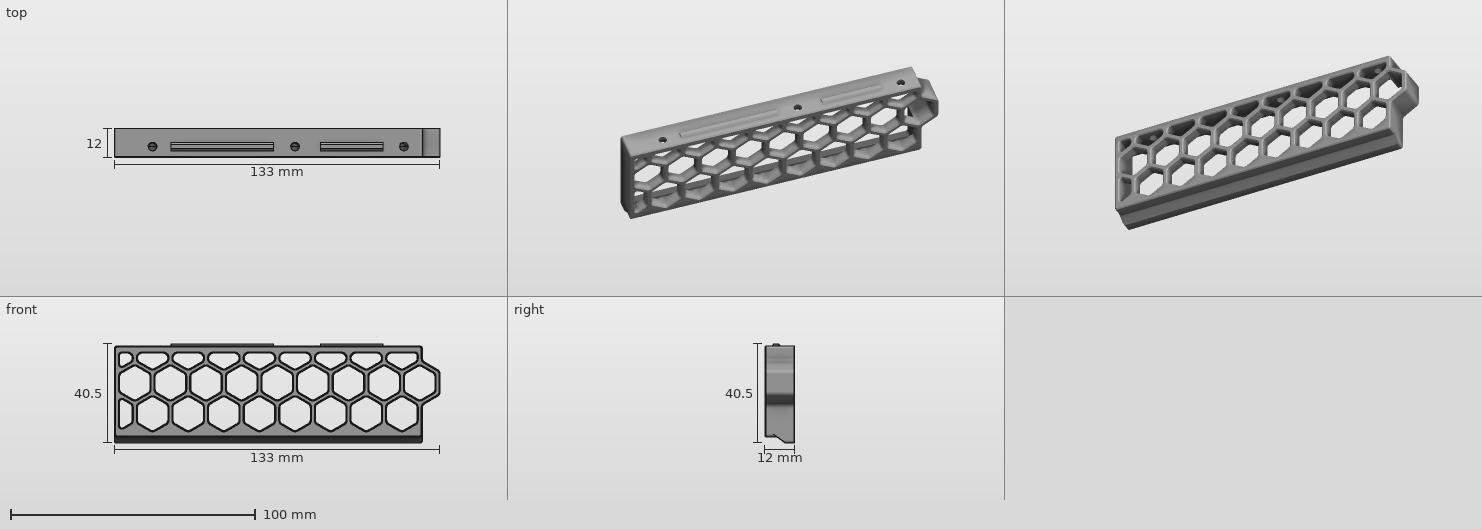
import cadquery as cq
import math

LENGTH = 133.0
DEPTH = 12.0
HEIGHT = 40.5
RAIL_HEIGHT = 0.86
BODY_TOP = HEIGHT - RAIL_HEIGHT

WALL = 2.1
TOP_WALL = 2.9
CELL_COLUMNS = 9
PITCH = (LENGTH - WALL) / CELL_COLUMNS
CELL_WIDTH = PITCH - WALL
ROW_RISE = PITCH * math.sqrt(3) / 2
MIDDLE_ROW_Z = 24.6
MIDDLE_ROW_X = WALL + CELL_WIDTH / 2
END_CELL_X = LENGTH - WALL - CELL_WIDTH / 2
END_HEX_WIDTH = CELL_WIDTH + 2 * WALL
JOINT_RISE = (END_HEX_WIDTH - PITCH / 2) / math.sqrt(3)
PLATE_DEPTH = 4.5
BODY_LENGTH = LENGTH - PITCH / 2
END_WALL_X = BODY_LENGTH - WALL
CELL_CEILING = BODY_TOP - TOP_WALL

FRONT_BOTTOM = 2.5
TONGUE_DEPTH = 3.6
STEP_RUN = 3.5
STEP_SLOPE = FRONT_BOTTOM / STEP_RUN
POCKET_RAMP_FOOT = 8.8
POCKET_FLOOR = 3.0

END_FILLET = 1.0
HEX_FILLET = 2.0
CELL_FILLET = 1.7
FRAME_CORNER_FILLET = 1.0
CEILING_FILLET = 2.0
FRONT_CHAMFER = 0.47
TOLERANCE = 0.01

TOP_LINE_Y = 4.5
RAIL_BASE_WIDTH = 3.5
RAIL_SPANS = [(23.1, 65.0), (84.0, 109.5)]
HOLE_DIAMETER = 3.5
FIRST_HOLE_X = MIDDLE_ROW_X + PITCH / 2
HOLE_POSITIONS = [FIRST_HOLE_X, FIRST_HOLE_X + 4 * PITCH, 118.2]


def hex_prism(x, z, across_flats):
    """Full-depth hexagon along Y, centred at (x, z), with two vertical flats."""
    radius = across_flats / math.sqrt(3)
    angles = [math.radians(30 + 60 * i) for i in range(6)]
    corners = [(x + radius * math.cos(a), z + radius * math.sin(a)) for a in angles]
    return cq.Workplane("XZ").polyline(corners).close().extrude(-DEPTH)


def block(x0, x1, y0, y1, z0, z1):
    """Box between the given limits."""
    return cq.Workplane("XY").box(x1 - x0, y1 - y0, z1 - z0, centered=False).translate((x0, y0, z0))


def rounded_bar(bottom):
    """Full-depth bar with the body's length, rounded along its four Y edges."""
    return block(0, BODY_LENGTH, 0, DEPTH, bottom, BODY_TOP).edges("|Y").fillet(END_FILLET)


def behind_ramp(foot_y, foot_z):
    """Everything above foot_z and behind a ramp that rises from its foot towards the front face."""
    ramp_top_z = foot_z + foot_y * STEP_SLOPE
    return (
        cq.Workplane("YZ")
        .polyline([(foot_y, foot_z), (DEPTH, foot_z), (DEPTH, BODY_TOP), (0, BODY_TOP), (0, ramp_top_z)])
        .close()
        .extrude(LENGTH)
    )


def make_body():
    """Solid bar with its stepped underside and the hexagon standing out of its right end."""
    tongue = rounded_bar(0).intersect(behind_ramp(DEPTH - TONGUE_DEPTH, 0))
    body = rounded_bar(FRONT_BOTTOM).union(tongue)
    end_hex = hex_prism(END_CELL_X, MIDDLE_ROW_Z, END_HEX_WIDTH)
    end_hex = end_hex.edges(">X").edges("|Y").fillet(HEX_FILLET)
    body = body.union(end_hex)
    for side in (-1, 1):
        corner = (BODY_LENGTH, DEPTH / 2, MIDDLE_ROW_Z + side * JOINT_RISE)
        body = body.edges(cq.NearestToPointSelector(corner)).fillet(HEX_FILLET)
    return body


def make_cell(x, z):
    """Through opening: a hexagon trimmed by the frame, with rounded corners."""
    frame = block(WALL, LENGTH, 0, DEPTH, 0, CELL_CEILING)
    cell = hex_prism(x, z, CELL_WIDTH).intersect(frame)
    corners = [edge.Center() for edge in cell.edges("|Y").vals()]
    for corner in corners:
        at_ceiling = abs(corner.z - CELL_CEILING) < TOLERANCE
        at_left_wall = abs(corner.x - WALL) < TOLERANCE and x < WALL
        at_right_wall = abs(corner.x - END_WALL_X) < TOLERANCE
        if at_left_wall or (at_ceiling and at_right_wall):
            radius = FRAME_CORNER_FILLET
        elif at_ceiling:
            radius = CEILING_FILLET
        else:
            radius = CELL_FILLET
        cell = cell.edges(cq.NearestToPointSelector(corner.toTuple())).fillet(radius)
    return cell


def make_pocket():
    """Open space behind the honeycomb, with a ramp up to the back of the plate."""
    pocket = block(WALL, END_WALL_X, PLATE_DEPTH, DEPTH, POCKET_FLOOR, CELL_CEILING)
    pocket = pocket.edges("|Y and <Z").fillet(END_FILLET)
    return pocket.intersect(behind_ramp(POCKET_RAMP_FOOT, POCKET_FLOOR))


def make_rail(start, end):
    """Trapezoidal rail along X, with sides sloping at 45 degrees."""
    half_base = RAIL_BASE_WIDTH / 2
    half_top = half_base - RAIL_HEIGHT
    return (
        cq.Workplane("YZ", origin=(start, TOP_LINE_Y, BODY_TOP))
        .polyline([(-half_base, 0), (half_base, 0), (half_top, RAIL_HEIGHT), (-half_top, RAIL_HEIGHT)])
        .close()
        .extrude(end - start)
    )


def make_screw_hole(x):
    """Vertical hole through the top wall."""
    return (
        cq.Workplane("XY", origin=(x, TOP_LINE_Y, CELL_CEILING))
        .circle(HOLE_DIAMETER / 2)
        .extrude(TOP_WALL)
    )


def make_cells():
    """Middle row of whole hexagons, and rows above and below it shifted by half a pitch."""
    cells = [make_cell(MIDDLE_ROW_X + i * PITCH, MIDDLE_ROW_Z) for i in range(CELL_COLUMNS)]
    for z in (MIDDLE_ROW_Z + ROW_RISE, MIDDLE_ROW_Z - ROW_RISE):
        cells += [make_cell(MIDDLE_ROW_X + (i - 0.5) * PITCH, z) for i in range(CELL_COLUMNS)]
    return cells


result = make_body()
result = result.cut(make_pocket())
for cell in make_cells():
    result = result.cut(cell)
result = result.faces("<Y").edges().chamfer(FRONT_CHAMFER)
for start, end in RAIL_SPANS:
    result = result.union(make_rail(start, end))
for x in HOLE_POSITIONS:
    result = result.cut(make_screw_hole(x))